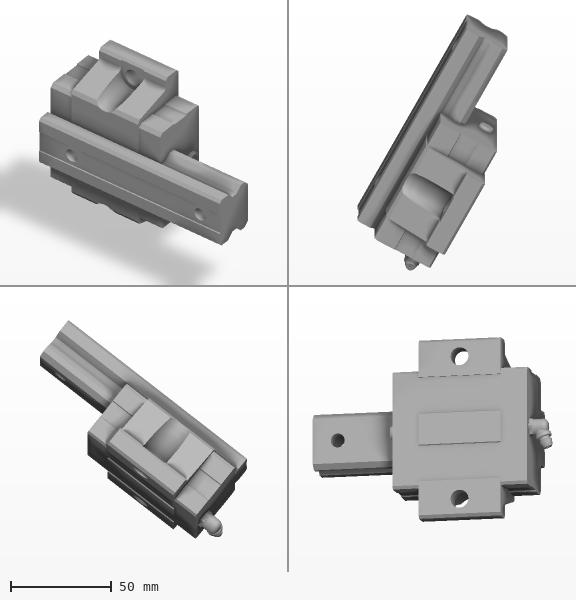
import cadquery as cq
import math


rail_length = 112.68
rail_height = 23.1
rail_half_width = 14.0
rail_waist_half_width = 10.65
foot_chamfer = 1.5
foot_side_top = 7.05
waist_bottom = 10.35
waist_top = 13.8
head_side_bottom = 17.25
head_chamfer_y = 2.9
head_chamfer_z = 2.6
foot_relief_half_width = 6.0
foot_relief_depth = 0.5
foot_relief_slant = 0.35
rail_hole_diameter = 7.0
rail_hole_first_x = 20.0
rail_hole_pitch = 80.0

cap_length = 13.4
body_length = 41.5
carriage_length = body_length + 2 * cap_length
body_centre_x = carriage_length / 2
body_top = 42.0
body_bottom = 8.8
flange_half_width = 45.0
flange_bottom = 31.5
flange_chamfer = 1.5
flank_angle = 15.0
flank_fillet = 2.0
flank_end_y = 10.3
flank_end_z = 32.2
body_bottom_half_width = 30.0
face_groove_inner_z = 7.8
face_groove_inner_slant = 0.4
face_groove_outer_z = 26.3

cap_top = 41.3
cap_bottom = 9.6
cap_half_width = 29.55
cap_waist_half_width = 28.85
cap_waist_top = 31.1
cap_waist_bottom = 20.8
cap_waist_slant = 0.4
cap_top_chamfer_y = 1.1
cap_top_chamfer_z = 1.5
cap_bottom_chamfer = 1.9

bolt_hole_diameter = 9.0
bolt_z = 36.0
bolt_seat_y = 31.85
bolt_seat_width = 14.2

fitting_y = 34.85
plug_diameter = 7.85
plug_length = 2.0

hex_across_flats = 8.0
hex_length = 1.9
elbow_diameter = 8.0
elbow_length = 9.4
elbow_fillet = 2.5
nozzle_pivot_x = -5.16
nozzle_tilt = 21.8
stem_radius = 3.45
collar_radius = 8.0 / 2
collar_chamfer = 0.35
collar_start = 3.7
collar_end = 5.9
neck_radius = 5.5 / 2
head_start = 7.25
head_widest = 7.75
head_radius = 6.6 / 2
head_taper_start = 9.6
head_taper_radius = 2.75
nozzle_end = 11.1
nozzle_end_radius = 2.1
nozzle_bore_radius = 0.75
nozzle_bore_depth = 0.5


def mirrored_prism(half_outline, start_x, length):
    """Extrude along X an outline of (Y, Z) points given for Z >= 0 and mirrored to Z <= 0."""
    other_half = [(y, -z) for y, z in reversed(half_outline)]
    outline = half_outline + other_half
    return cq.Workplane("YZ").workplane(offset=start_x).polyline(outline).close().extrude(length)


def rail_prism():
    return mirrored_prism(
        [
            (foot_relief_depth, foot_relief_half_width - foot_relief_slant),
            (0, foot_relief_half_width),
            (0, rail_half_width - foot_chamfer),
            (foot_chamfer, rail_half_width),
            (foot_side_top, rail_half_width),
            (waist_bottom, rail_waist_half_width),
            (waist_top, rail_waist_half_width),
            (head_side_bottom, rail_half_width),
            (rail_height - head_chamfer_y, rail_half_width),
            (rail_height, rail_half_width - head_chamfer_z),
        ],
        0,
        rail_length,
    )


def y_cylinder(x, z, diameter, start_y, end_y):
    return cq.Workplane(
        cq.Solid.makeCylinder(
            diameter / 2, end_y - start_y, cq.Vector(x, start_y, z), cq.Vector(0, 1, 0)
        )
    )


def make_rail():
    rail = rail_prism()
    for index in range(2):
        hole_x = rail_hole_first_x + index * rail_hole_pitch
        rail = rail.cut(y_cylinder(hole_x, 0, rail_hole_diameter, 0, rail_height))
    return rail


def make_body():
    flank_start_z = flank_end_z + (flange_bottom - flank_end_y) * math.tan(math.radians(flank_angle))
    body = mirrored_prism(
        [
            (body_bottom, body_bottom_half_width),
            (flank_end_y, flank_end_z),
            (flange_bottom, flank_start_z),
            (flange_bottom, flange_half_width - flange_chamfer),
            (flange_bottom + flange_chamfer, flange_half_width),
            (body_top - flange_chamfer, flange_half_width),
            (body_top, flange_half_width - flange_chamfer),
            (body_top, face_groove_outer_z),
            (cap_top, face_groove_outer_z),
            (cap_top, face_groove_inner_z + face_groove_inner_slant),
            (body_top, face_groove_inner_z),
        ],
        cap_length,
        body_length,
    )
    for side in (-1, 1):
        corner = (body_centre_x, flange_bottom, side * flank_start_z)
        body = body.edges(cq.selectors.NearestToPointSelector(corner)).fillet(flank_fillet)
    return body


def bolt_hole(side):
    """Through hole and the open-sided seat below the flange; side is +1 or -1 in Z."""
    hole = y_cylinder(body_centre_x, side * bolt_z, bolt_hole_diameter, 0, body_top)
    seat_end = y_cylinder(body_centre_x, side * bolt_z, bolt_seat_width, 0, bolt_seat_y)
    seat_reach = flange_half_width - bolt_z
    seat_side = cq.Workplane("XY").box(bolt_seat_width, bolt_seat_y, seat_reach).translate(
        (body_centre_x, bolt_seat_y / 2, side * (bolt_z + seat_reach / 2))
    )
    return hole.union(seat_end).union(seat_side)


def make_cap(start_x):
    return mirrored_prism(
        [
            (cap_bottom, cap_half_width - cap_bottom_chamfer),
            (cap_bottom + cap_bottom_chamfer, cap_half_width),
            (cap_waist_bottom, cap_half_width),
            (cap_waist_bottom + cap_waist_slant, cap_waist_half_width),
            (cap_waist_top - cap_waist_slant, cap_waist_half_width),
            (cap_waist_top, cap_half_width),
            (cap_top - cap_top_chamfer_y, cap_half_width),
            (cap_top, cap_half_width - cap_top_chamfer_z),
        ],
        start_x,
        cap_length,
    )


def make_plug():
    """Plug with a ball-shaped side centred on the cap face and a flat end."""
    ball_radius = plug_diameter / 2
    end_radius = math.sqrt(ball_radius**2 - plug_length**2)
    arc_angle = math.asin(plug_length / ball_radius) / 2
    arc_middle = (ball_radius * math.sin(arc_angle), ball_radius * math.cos(arc_angle))
    profile = (
        cq.Workplane("XY")
        .lineTo(0, ball_radius)
        .threePointArc(arc_middle, (plug_length, end_radius))
        .lineTo(plug_length, 0)
        .close()
    )
    plug = profile.revolve(360, (0, 0, 0), (1, 0, 0))
    return plug.translate((carriage_length, fitting_y, 0))


def make_nozzle():
    """Turned nozzle; drawn around -Z, then tilted about the elbow axis."""
    profile = [
        (0, 0),
        (stem_radius, 0),
        (stem_radius, collar_start),
        (collar_radius - collar_chamfer, collar_start),
        (collar_radius, collar_start + collar_chamfer),
        (collar_radius, collar_end - collar_chamfer),
        (collar_radius - collar_chamfer, collar_end),
        (neck_radius, collar_end),
        (neck_radius, head_start),
        (head_radius, head_widest),
        (head_taper_radius, head_taper_start),
        (nozzle_end_radius, nozzle_end),
        (nozzle_bore_radius, nozzle_end),
        (nozzle_bore_radius, nozzle_end - nozzle_bore_depth),
        (0, nozzle_end - nozzle_bore_depth),
    ]
    outline = [(radius, -station) for radius, station in profile]
    nozzle = cq.Workplane("XZ").polyline(outline).close().revolve(360, (0, 0, 0), (0, 1, 0))
    tilted = nozzle.rotate((0, 0, 0), (0, 1, 0), nozzle_tilt)
    return tilted.translate((nozzle_pivot_x, fitting_y, 0))


def make_grease_fitting():
    cap_face = cq.Workplane("YZ").center(fitting_y, 0)
    hex_across_corners = hex_across_flats / math.cos(math.radians(30))
    hex_base = cap_face.polygon(6, hex_across_corners).extrude(-hex_length)
    hex_face = cap_face.workplane(offset=-hex_length)
    elbow = hex_face.circle(elbow_diameter / 2).extrude(hex_length - elbow_length)
    elbow = elbow.faces("<X").edges().fillet(elbow_fillet)
    return hex_base.union(elbow).union(make_nozzle())


def make_carriage():
    carriage = make_body()
    for side in (-1, 1):
        carriage = carriage.cut(bolt_hole(side))
    for cap_start_x in (0, cap_length + body_length):
        carriage = carriage.union(make_cap(cap_start_x))
    carriage = carriage.cut(rail_prism())
    return carriage.union(make_plug()).union(make_grease_fitting())


rail = make_rail()
carriage = make_carriage()
result = cq.Compound.makeCompound([rail.val(), *carriage.vals()])